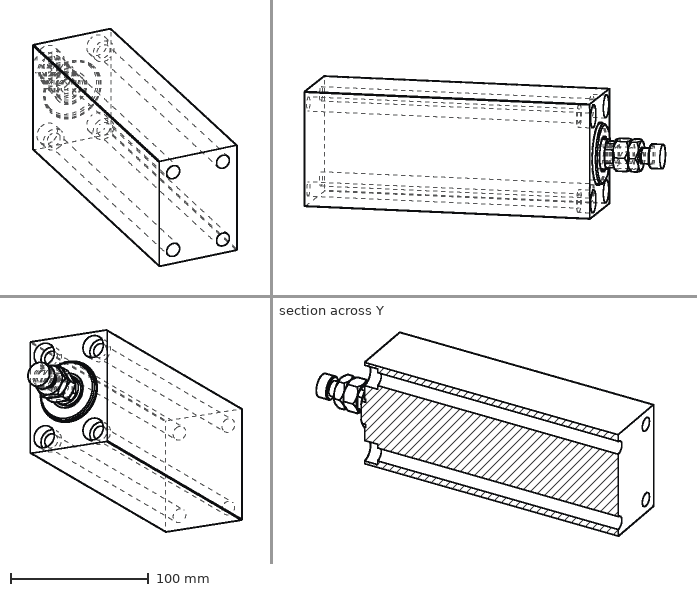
import cadquery as cq
import math


overall_length = 260.0
block_length = 213.0
block_width = 63.0
block_height = 85.0
block_edge_chamfer = 0.5
block_front = overall_length - block_length

hole_spacing_y = 40.0
hole_spacing_z = 63.0
hole_dia = 10.5
counterbore_dia = 16.6
counterbore_depth = 11.0

ring_dia = 44.2
ring_front = 44.0
ring_chamfer = 1.0
wiper_dia = 26.0
wiper_depth = 1.0
groove_dia = 46.0
groove_depth = 0.8

rod_dia = 22.0
rod_shoulder = 41.0
rod_end_dia = 20.5
rod_flats_width = 18.0
rod_tail = block_front
socket_bottom = rod_shoulder

head_dia = 18.0
head_length = 8.8
head_chamfer = 0.8
neck_dia = 11.7
neck_end = 14.5
thread_dia = 12.0
hex_across_flats = 22.0
hex_end_dia = 21.8
hex_bevel_angle = 45.0
pin_hex_front = 15.9
nut_front = 23.7
nut_back = 34.8


def x_cylinder(diameter, start, end):
    """Cylinder on the X axis between two stations."""
    return cq.Workplane("YZ").workplane(offset=start).circle(diameter / 2).extrude(end - start)


def bevelled_hexagon(start, end):
    """Hexagon with flats facing up and down, its corners turned to a cone at both ends."""
    length = end - start
    corner_radius = hex_across_flats / math.sqrt(3)
    bevel_radius = hex_end_dia / 2
    bevel_length = (corner_radius - bevel_radius) * math.tan(math.radians(hex_bevel_angle))
    prism = (
        cq.Workplane("YZ").workplane(offset=start)
        .polygon(6, 2 * corner_radius).extrude(length)
    )
    turned = (
        cq.Workplane("XY")
        .moveTo(start, 0)
        .lineTo(start, bevel_radius)
        .lineTo(start + bevel_length, corner_radius)
        .lineTo(end - bevel_length, corner_radius)
        .lineTo(end, bevel_radius)
        .lineTo(end, 0)
        .close()
        .revolve(360, (0, 0, 0), (1, 0, 0))
    )
    return prism.intersect(turned)


def make_housing():
    """Block with four counterbored through holes and a guide ring that holds the rod."""
    block = (
        cq.Workplane("YZ").workplane(offset=block_front)
        .rect(block_width, block_height).extrude(block_length)
        .edges("|X").chamfer(block_edge_chamfer)
    )
    block = (
        block.faces("<X").workplane(origin=(block_front, 0, 0))
        .rect(hole_spacing_y, hole_spacing_z, forConstruction=True).vertices()
        .cboreHole(hole_dia, counterbore_dia, counterbore_depth)
    )
    groove = x_cylinder(groove_dia, block_front, block_front + groove_depth)
    ring = x_cylinder(ring_dia, ring_front, block_front + groove_depth)
    ring = ring.faces("<X").chamfer(ring_chamfer)
    bore = x_cylinder(rod_dia, ring_front, rod_tail)
    wiper_recess = x_cylinder(wiper_dia, ring_front, ring_front + wiper_depth)
    return block.cut(groove).union(ring).cut(bore).cut(wiper_recess)


def make_rod():
    """Piston rod with four wrench flats on its end and a socket for the pin."""
    shaft = x_cylinder(rod_dia, rod_shoulder, rod_tail)
    end = x_cylinder(rod_end_dia, nut_back, rod_shoulder)
    flats = (
        cq.Workplane("YZ").workplane(offset=nut_back)
        .rect(rod_flats_width, rod_flats_width).extrude(rod_shoulder - nut_back)
    )
    socket = x_cylinder(thread_dia, nut_back, socket_bottom)
    return shaft.union(end.intersect(flats)).cut(socket)


def make_pin():
    """Coupling pin with a round head, a neck, a wrench hexagon and a threaded shank."""
    head = x_cylinder(head_dia, 0, head_length).faces(">X").chamfer(head_chamfer)
    neck = x_cylinder(neck_dia, head_length, neck_end)
    thread = x_cylinder(thread_dia, neck_end, socket_bottom)
    return head.union(neck).union(thread).union(bevelled_hexagon(pin_hex_front, nut_front))


def make_lock_nut():
    """Hexagon nut on the shank, between the pin and the rod."""
    return bevelled_hexagon(nut_front, nut_back).cut(x_cylinder(thread_dia, nut_front, nut_back))


housing = make_housing()
rod = make_rod()
pin = make_pin()
lock_nut = make_lock_nut()

result = cq.Compound.makeCompound([housing.val(), rod.val(), pin.val(), lock_nut.val()])